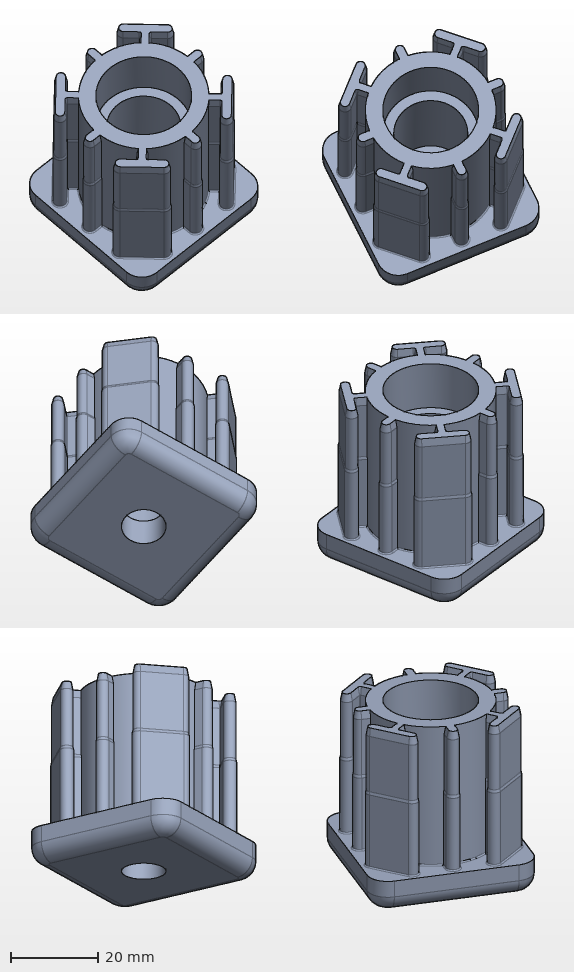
import cadquery as cq
import math

flange_side = 40.0
flange_height = 8.0
flange_corner_radius = 5.0
flange_edge_radius = flange_height / 2

total_height = 43.0
tube_radius = 15.0
bore_radius = 11.0
bore_depth = 12.0
recess_radius = 8.5
hole_radius = 5.1

rib_reach = 18.75
rib_half_thickness = 1.65
web_half_width = 1.45
bar_half_length = 5.07
step_bottom = 26.3
step_top = 27.05
tip_start = 41.02
step_inset = 0.17
tip_inset = 0.4
foot_radius = 0.3
rib_sides = 4

rib_end_centre = rib_reach - rib_half_thickness
bar_distance = rib_end_centre * math.sqrt(2) - bar_half_length

rib_root = (bore_radius + tube_radius) / 2
rib_base = flange_height / 2


def cylinder(radius, bottom, top):
    return cq.Workplane("XY", origin=(0, 0, bottom)).circle(radius).extrude(top - bottom)


def straight_rib_outline(level):
    """Rib along +X with a full-round end."""
    return (
        cq.Workplane("XY", origin=(0, 0, level))
        .moveTo(rib_root, -rib_half_thickness)
        .lineTo(rib_end_centre, -rib_half_thickness)
        .threePointArc((rib_reach, 0), (rib_end_centre, rib_half_thickness))
        .lineTo(rib_root, rib_half_thickness)
        .close()
    )


def corner_rib_outline(level):
    """T shape along +X: a web carrying a crossbar with full-round ends."""
    inner = bar_distance - rib_half_thickness
    outer = bar_distance + rib_half_thickness
    bar_tip = bar_half_length + rib_half_thickness
    return (
        cq.Workplane("XY", origin=(0, 0, level))
        .moveTo(rib_root, -web_half_width)
        .lineTo(inner, -web_half_width)
        .lineTo(inner, -bar_half_length)
        .threePointArc((bar_distance, -bar_tip), (outer, -bar_half_length))
        .lineTo(outer, bar_half_length)
        .threePointArc((bar_distance, bar_tip), (inner, bar_half_length))
        .lineTo(inner, web_half_width)
        .lineTo(rib_root, web_half_width)
        .close()
    )


def extend_upward(stage, height, inset=0.0):
    """Grow the top face of a stage upward, drawing its sides in by the inset."""
    angle = math.degrees(math.atan(inset / height))
    top_outline = stage.faces(">Z").wires().toPending()
    return top_outline.extrude(height, taper=angle, combine=False)


def make_rib(outline):
    lower = outline(rib_base).extrude(step_bottom - rib_base)
    step = extend_upward(lower, step_top - step_bottom, step_inset)
    upper = extend_upward(step, tip_start - step_top)
    tip = extend_upward(upper, total_height - tip_start, tip_inset)
    return lower.union(step).union(upper).union(tip)


flange = (
    cq.Workplane("XY")
    .rect(flange_side, flange_side)
    .extrude(flange_height)
    .edges("|Z").fillet(flange_corner_radius)
    .faces("<Z").edges().fillet(flange_edge_radius)
)

body = flange.union(cylinder(tube_radius, rib_base, total_height))
straight_rib = make_rib(straight_rib_outline)
corner_rib = make_rib(corner_rib_outline)
side_angle = 360 / rib_sides
for side in range(rib_sides):
    turn = side * side_angle
    body = body.union(straight_rib.rotate((0, 0, 0), (0, 0, 1), turn))
    body = body.union(corner_rib.rotate((0, 0, 0), (0, 0, 1), turn + side_angle / 2))

zone_margin = 0.05
zone_reach = rib_reach + zone_margin
foot_zone = cq.selectors.BoxSelector(
    (-zone_reach, -zone_reach, flange_height - zone_margin),
    (zone_reach, zone_reach, flange_height + zone_margin),
    boundingbox=True,
)
body = body.edges(foot_zone).fillet(foot_radius)

result = (
    body.cut(cylinder(bore_radius, total_height - bore_depth, total_height))
    .cut(cylinder(recess_radius, flange_height, total_height))
    .cut(cylinder(hole_radius, 0, total_height))
)